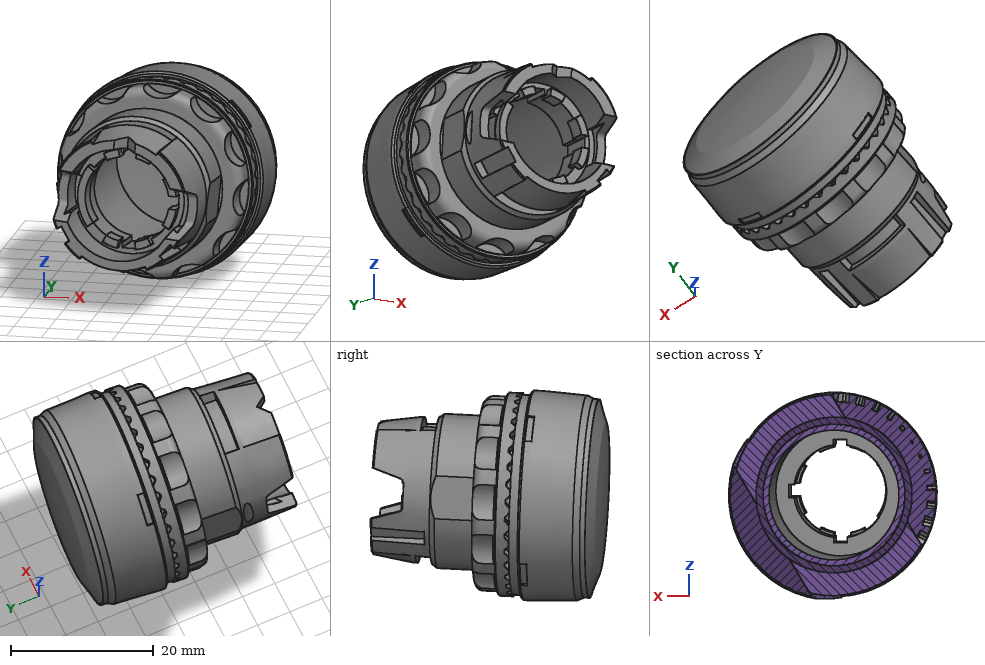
import cadquery as cq
import math


ROLL = -4.9
NUT_ROLL = -5.3
SLEEVE_ROLL = 0.0
YAW = -4.7
PITCH = -2.8

LENS_RADIUS = 13.8
LENS_EDGE_Z = 2.0
DOME_APEX_Z = 0.3
DOME_RADIUS = 10.73
DOME_EDGE_Z = 0.87
LENS_BACK_Z = 3.35
LENS_WALL = 1.35

BEZEL_FACE_RADIUS = 13.98
BEZEL_CHAMFER_RADIUS = 14.4
BEZEL_RADIUS = 14.75
BEZEL_RIM_Z = 2.75
BEZEL_CHAMFER_Z = 3.72
SKIRT_Z = 10.2
BEZEL_END_Z = 11.45
BEZEL_END_CHAMFER = 0.3
BEZEL_NOTCHES = 4
BEZEL_NOTCH_ANGLE = 18.0

COLLAR_RADIUS = 14.48
COLLAR_END_Z = 11.13
GASKET_RADIUS = 14.08
GASKET_END_Z = 12.75

NUT_RING_RADIUS = 28.6 / 2
NUT_RING_END_Z = 14.75
NUT_RING_CHAMFER = 0.17
NUT_RADIUS = 13.75
NUT_END_Z = 18.1
NUT_FILLET = 1.3
TOOTH_GAPS = 36
TOOTH_PHASE = 1.2
TOOTH_GAP_DEPTH = 0.6
TOOTH_GAP_WIDTH = 1.75
TOOTH_GAP_ROOT = 0.4
TOOTH_ROOT_RADIUS = 13.07
SCALLOPS = 12
SCALLOP_WIDTH = 5.35
SCALLOP_DEPTH = 1.25
SCALLOP_START_Z = 15.0

NECK_RADIUS = 10.85
NECK_CHAMFER_Z = 23.53
NECK_FLAT_WIDTH = 6.05
TUBE_RADIUS = 20.7 / 2
TUBE_START_Z = 24.27
TUBE_END_Z = 32.6
TUBE_END_RADIUS = 9.95
TUBE_END_CHAMFER = 0.2
TUBE_BORE_RADIUS = 8.0

PAD_ANGLE = 60.0
WINDOW_RADIUS = 17.8 / 2
WINDOW_END_Z = 26.4
PAD_TAPER_Z = 27.1
PAD_END_RADIUS = 9.35

SIDE_NOTCH_DEPTH = 4.53
SIDE_NOTCH_MOUTH = 7.25
SIDE_NOTCH_FLOOR = 4.35
SIDE_NOTCH_FILLET = 0.85
SIDE_POCKET_ANGLE = 40.0
SIDE_POCKET_INNER_RADIUS = 7.35
SIDE_POCKET_OUTER_RADIUS = 8.8
SIDE_POCKET_Z = 24.47
VEE_WIDTH = 3.1
VEE_DEPTH = 1.58
KEYWAY_ANGLES = (-36.0, 216.0)
KEYWAY_WIDTH = 2.35
KEYWAY_RADIUS = 9.05
KEYWAY_START_Z = 24.97
DIMPLE_Z = 25.27
DIMPLE_LENGTH = 5.2
DIMPLE_WIDTH = 1.45

SLEEVE_RADIUS = 9.9
SLEEVE_WALL = 0.85
SLEEVE_CAVITY_RADIUS = SLEEVE_RADIUS - SLEEVE_WALL
SLEEVE_SHOULDER_Z = 23.45
SLEEVE_BORE_RADIUS = 6.55
SLEEVE_END_Z = 27.32
LUG_INNER_RADIUS = 6.15
LUG_OUTER_RADIUS = 7.25
LUG_START_Z = 26.15
LUG_END_Z = 28.5
SLEEVE_SLOT_WIDTH = 1.88
SLEEVE_SLOT_ANGLES = (0, 90, 270)
LUG_SPANS = ((-32, -5), (7, 32), (60, 79), (101, 119), (143, 217), (241, 259), (281, 300))

REACH = 20.1


def lathe(points, start=0.0, angle=360.0):
    """Turn an (radius, z) outline about the Z axis, beginning at a start angle from +X."""
    body = cq.Workplane("XZ").polyline(points).close().revolve(angle, (0, 0, 0), (0, 1, 0))
    return body.rotate((0, 0, 0), (0, 0, 1), start)


def ring(inner, outer, z0, z1, start=0.0, angle=360.0):
    return lathe([(inner, z0), (outer, z0), (outer, z1), (inner, z1)], start, angle)


def turned(shape, angle):
    return shape.rotate((0, 0, 0), (0, 0, 1), angle)


def sagitta(radius, chord):
    return radius - math.sqrt(radius**2 - (chord / 2) ** 2)


def make_lens():
    height = DOME_EDGE_Z - DOME_APEX_Z
    dome_sphere = (DOME_RADIUS**2 + height**2) / (2 * height)
    mid = DOME_RADIUS / 2
    mid_z = DOME_APEX_Z + dome_sphere - math.sqrt(dome_sphere**2 - mid**2)
    return (
        cq.Workplane("XZ")
        .moveTo(0, DOME_APEX_Z)
        .threePointArc((mid, mid_z), (DOME_RADIUS, DOME_EDGE_Z))
        .lineTo(LENS_RADIUS, LENS_EDGE_Z)
        .lineTo(LENS_RADIUS, LENS_BACK_Z)
        .lineTo(DOME_RADIUS, LENS_BACK_Z)
        .lineTo(DOME_RADIUS, DOME_EDGE_Z + LENS_WALL)
        .threePointArc((mid, mid_z + LENS_WALL), (0, DOME_APEX_Z + LENS_WALL))
        .close()
        .revolve(360, (0, 0, 0), (0, 1, 0))
    )


def make_bezel():
    bezel = lathe([
        (LENS_RADIUS, LENS_EDGE_Z),
        (BEZEL_FACE_RADIUS, LENS_EDGE_Z),
        (BEZEL_FACE_RADIUS, BEZEL_RIM_Z),
        (BEZEL_CHAMFER_RADIUS, BEZEL_CHAMFER_Z),
        (BEZEL_RADIUS, SKIRT_Z),
        (BEZEL_RADIUS, BEZEL_END_Z - BEZEL_END_CHAMFER),
        (BEZEL_RADIUS - BEZEL_END_CHAMFER, BEZEL_END_Z),
        (GASKET_RADIUS, BEZEL_END_Z),
        (GASKET_RADIUS, COLLAR_END_Z),
        (COLLAR_RADIUS, COLLAR_END_Z),
        (COLLAR_RADIUS, SKIRT_Z),
        (NECK_RADIUS, SKIRT_Z),
        (NECK_RADIUS, LENS_BACK_Z),
        (LENS_RADIUS, LENS_BACK_Z),
    ])
    for i in range(BEZEL_NOTCHES):
        middle = (i + 0.5) * 360 / BEZEL_NOTCHES
        start = middle - BEZEL_NOTCH_ANGLE / 2
        bezel = bezel.cut(ring(COLLAR_RADIUS, REACH, SKIRT_Z, COLLAR_END_Z, start, BEZEL_NOTCH_ANGLE))
    return bezel


def make_nut():
    nut = ring(NECK_RADIUS, NUT_RING_RADIUS, GASKET_END_Z, NUT_RING_END_Z)
    nut = nut.faces(">Z").edges("%CIRCLE").edges(cq.selectors.RadiusNthSelector(-1)).chamfer(NUT_RING_CHAMFER)
    grip = ring(NECK_RADIUS, NUT_RADIUS, NUT_RING_END_Z, NUT_END_Z)
    grip = grip.faces(">Z").edges(cq.selectors.RadiusNthSelector(-1)).fillet(NUT_FILLET)
    nut = nut.union(grip)

    scallop_radius = (SCALLOP_DEPTH**2 + (SCALLOP_WIDTH / 2) ** 2) / (2 * SCALLOP_DEPTH)
    scallop = (
        cq.Workplane("XY", origin=(NUT_RADIUS - SCALLOP_DEPTH + scallop_radius, 0, SCALLOP_START_Z))
        .circle(scallop_radius)
        .extrude(NUT_END_Z - SCALLOP_START_Z)
    )
    for i in range(SCALLOPS):
        nut = nut.cut(turned(scallop, i * 360 / SCALLOPS))

    gap = (
        cq.Workplane("YZ", origin=(TOOTH_ROOT_RADIUS, 0, GASKET_END_Z))
        .moveTo(-TOOTH_GAP_WIDTH / 2, 0)
        .lineTo(TOOTH_GAP_WIDTH / 2, 0)
        .lineTo(TOOTH_GAP_ROOT / 2, TOOTH_GAP_DEPTH)
        .lineTo(-TOOTH_GAP_ROOT / 2, TOOTH_GAP_DEPTH)
        .close()
        .extrude(NUT_RING_RADIUS)
    )
    for i in range(TOOTH_GAPS):
        nut = nut.cut(turned(gap, TOOTH_PHASE + i * 360 / TOOTH_GAPS))
    return nut


def cut_neck_flats(housing):
    flat_x = NECK_RADIUS - sagitta(NECK_RADIUS, NECK_FLAT_WIDTH)
    depth = TUBE_START_Z - NUT_END_Z
    for side in (0, 180):
        slab = cq.Workplane("XY", origin=(flat_x, 0, NUT_END_Z)).rect(REACH, REACH).extrude(depth)
        slab = slab.translate((REACH / 2, 0, 0))
        housing = housing.cut(turned(slab, side))
    return housing


def cut_pads(housing):
    """A window behind each pad, and a taper of the pad towards the open end."""
    shrink = (TUBE_RADIUS - TUBE_END_RADIUS) / (TUBE_END_Z - TUBE_START_Z)
    taper_radius = TUBE_RADIUS - shrink * (PAD_TAPER_Z - TUBE_START_Z)
    for middle in (90, 270):
        start = middle - PAD_ANGLE / 2
        housing = housing.cut(ring(WINDOW_RADIUS, REACH, TUBE_START_Z, WINDOW_END_Z, start, PAD_ANGLE))
        taper = [(taper_radius, PAD_TAPER_Z), (REACH, PAD_TAPER_Z), (REACH, TUBE_END_Z),
                 (PAD_END_RADIUS, TUBE_END_Z)]
        housing = housing.cut(lathe(taper, start, PAD_ANGLE))
    return housing


def cut_end_notches(housing):
    """Side notches through both walls, and the vee mark at the top."""
    side_notch = (
        cq.Workplane("YZ")
        .moveTo(-SIDE_NOTCH_MOUTH / 2, TUBE_END_Z)
        .lineTo(-SIDE_NOTCH_FLOOR / 2, TUBE_END_Z - SIDE_NOTCH_DEPTH)
        .lineTo(SIDE_NOTCH_FLOOR / 2, TUBE_END_Z - SIDE_NOTCH_DEPTH)
        .lineTo(SIDE_NOTCH_MOUTH / 2, TUBE_END_Z)
        .close()
        .extrude(REACH, both=True)
        .faces("<Z").edges("|X").fillet(SIDE_NOTCH_FILLET)
    )
    vee = (
        cq.Workplane("XZ")
        .moveTo(-VEE_WIDTH / 2, TUBE_END_Z)
        .lineTo(0, TUBE_END_Z - VEE_DEPTH)
        .lineTo(VEE_WIDTH / 2, TUBE_END_Z)
        .close()
        .extrude(-REACH)
    )
    return housing.cut(side_notch).cut(vee)


def cut_keyways(housing):
    length = TUBE_END_Z - KEYWAY_START_Z
    keyway = (
        cq.Workplane("XY", origin=(KEYWAY_RADIUS, 0, KEYWAY_START_Z))
        .rect(REACH, KEYWAY_WIDTH)
        .extrude(length)
        .translate((REACH / 2, 0, 0))
    )
    for angle in KEYWAY_ANGLES:
        housing = housing.cut(turned(keyway, angle))
    return housing


def cut_dimples(housing):
    """Shallow oval dents on both sides, each left by a round bar lying across the tube."""
    depth = sagitta(TUBE_RADIUS, DIMPLE_LENGTH)
    bar_radius = (depth**2 + (DIMPLE_WIDTH / 2) ** 2) / (2 * depth)
    bar_x = TUBE_RADIUS - depth + bar_radius
    bar = cq.Workplane("XZ", origin=(bar_x, 0, DIMPLE_Z)).circle(bar_radius).extrude(REACH, both=True)
    for side in (0, 180):
        housing = housing.cut(turned(bar, side))
    return housing


def side_pocket(middle, floor_z):
    start = middle - SIDE_POCKET_ANGLE / 2
    return ring(
        SIDE_POCKET_INNER_RADIUS, SIDE_POCKET_OUTER_RADIUS,
        floor_z, TUBE_END_Z, start, SIDE_POCKET_ANGLE,
    )


def cut_side_pockets(body):
    """Pockets behind the side notches: level with the sleeve end at +X, deeper at -X."""
    return body.cut(side_pocket(0, SLEEVE_END_Z)).cut(side_pocket(180, SIDE_POCKET_Z))


def make_housing():
    housing = lathe([
        (TUBE_BORE_RADIUS, SLEEVE_SHOULDER_Z),
        (SLEEVE_RADIUS, SLEEVE_SHOULDER_Z),
        (SLEEVE_RADIUS, LENS_BACK_Z),
        (NECK_RADIUS, LENS_BACK_Z),
        (NECK_RADIUS, NECK_CHAMFER_Z),
        (TUBE_RADIUS, TUBE_START_Z),
        (TUBE_END_RADIUS, TUBE_END_Z - TUBE_END_CHAMFER),
        (TUBE_END_RADIUS - TUBE_END_CHAMFER, TUBE_END_Z),
        (TUBE_BORE_RADIUS, TUBE_END_Z),
    ])
    housing = cut_neck_flats(housing)
    housing = cut_pads(housing)
    housing = cut_end_notches(housing)
    housing = cut_keyways(housing)
    housing = cut_side_pockets(housing)
    return cut_dimples(housing)


def make_sleeve():
    sleeve = lathe([
        (SLEEVE_CAVITY_RADIUS, LENS_BACK_Z),
        (SLEEVE_RADIUS, LENS_BACK_Z),
        (SLEEVE_RADIUS, SLEEVE_SHOULDER_Z),
        (TUBE_BORE_RADIUS, SLEEVE_SHOULDER_Z),
        (TUBE_BORE_RADIUS, SLEEVE_END_Z),
        (SLEEVE_BORE_RADIUS, SLEEVE_END_Z),
        (SLEEVE_BORE_RADIUS, SLEEVE_SHOULDER_Z - SLEEVE_WALL),
        (SLEEVE_CAVITY_RADIUS, SLEEVE_SHOULDER_Z - SLEEVE_WALL),
    ])
    sleeve = cut_side_pockets(sleeve)
    for first, last in LUG_SPANS:
        lug = ring(LUG_INNER_RADIUS, LUG_OUTER_RADIUS, LUG_START_Z, LUG_END_Z, first, last - first)
        sleeve = sleeve.union(lug)
    slot = (
        cq.Workplane("XY", origin=(LUG_OUTER_RADIUS / 2, 0, SLEEVE_SHOULDER_Z - SLEEVE_WALL))
        .rect(LUG_OUTER_RADIUS, SLEEVE_SLOT_WIDTH)
        .extrude(TUBE_END_Z - SLEEVE_SHOULDER_Z)
    )
    for angle in SLEEVE_SLOT_ANGLES:
        sleeve = sleeve.cut(turned(slot, angle))
    return sleeve


def placed(body, roll=ROLL):
    """Roll a body about its axis, lay the axis along -Y, then tilt it."""
    return (
        body.rotate((0, 0, 0), (0, 0, 1), roll)
        .rotate((0, 0, 0), (1, 0, 0), 90)
        .rotate((0, 0, 0), (1, 0, 0), PITCH)
        .rotate((0, 0, 0), (0, 0, 1), YAW)
    )


lens = placed(make_lens())
bezel = placed(make_bezel())
collar = placed(ring(NECK_RADIUS, COLLAR_RADIUS, SKIRT_Z, COLLAR_END_Z))
gasket = placed(ring(NECK_RADIUS, GASKET_RADIUS, COLLAR_END_Z, GASKET_END_Z))
nut = placed(make_nut(), NUT_ROLL)
housing = placed(make_housing())
sleeve = placed(make_sleeve(), SLEEVE_ROLL)

result = cq.Compound.makeCompound([
    lens.val(),
    bezel.val(),
    collar.val(),
    gasket.val(),
    nut.val(),
    housing.val(),
    sleeve.val(),
])